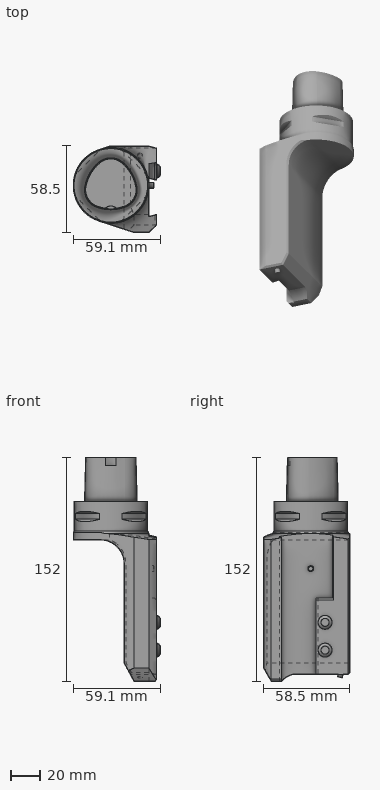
import cadquery as cq
import math


shank_height = 30.0
lobe_radius = 18.7
seam_radius = 17.8
side_radius = 16.5
seam_half_angle = 34
seam_normal_angle = 20
shank_taper = 0.8
notch_radius = 4.7
notch_floor = 14.0
notch_depth = 5.6

collar_radius = 50.0 / 2
collar_bottom = -20.0
flange_radius = 25.5
flange_top = -21.1
flange_bottom = -26.1
grip_offset = 22.2
grip_floor_height = 3.8
grip_z = -10.2
grip_flank_angle = 30

arm_inner_x = 9.0
arm_outer_x = 31.0
arm_shoulder_x = 25.8
front_y = -31.9
back_y = 26.6
tangent_x = -7.9
front_corner = 4.9
back_corner = 1.4
arm_fillet = 15.8
top_slope_angle = 15
neck_foot_radius = 25.8
neck_slope = (flange_top - collar_bottom) / (flange_radius - collar_radius)
neck_foot_z = collar_bottom + neck_slope * (neck_foot_radius - collar_radius)
inner_bevel_top = -109.6
inner_bevel_width = 6.8
back_chamfer = 1.2

overall_height = 152
overall_width = 59.1
tip_bottom = shank_height - overall_height
heel_bottom = -117.3
front_bevel_width = 5.2
front_bevel_angle = 60
relief_start_y = -11.7
relief_end_y = -19.8
relief_radius = 15.0
tip_chamfer_x = 0.9
tip_chamfer_z = 1.4

slot_floor_x = arm_shoulder_x
slot_front_y = -21.1
slot_back_y = 14.7
slot_front_lean = 1.4
slot_back_lean = 0.8

clamp_front_y = 4.9
clamp_front_lean = 1.4
clamp_bottom = heel_bottom
clamp_top = -65.7
clamp_chamfer = 1.2
screw_y = 9.7
screw_levels = (-82.1, -101.0)
screw_diameter = 9.5
screw_tip_diameter = 5.5
screw_rim = 0.3
screw_bulge_radial = 0.3
screw_bulge_axial = 0.2
screw_height = overall_width - flange_radius - arm_outer_x
stop_diameter = 4.0
stop_length = 3.5
stop_z = -45.6
stop_chamfer = 0.5
heel_pin_diameter = 3.3
heel_pin_x = 19.8
heel_pin_y = 19.8
heel_pin_end_z = -119.3
heel_pin_length = 6.1
heel_pin_tilt = 15


def polar(radius, degrees):
    """Cartesian point at a radius and an angle in degrees."""
    angle = math.radians(degrees)
    return radius * math.cos(angle), radius * math.sin(angle)


def seam_point(side_angle, direction, inset):
    """Seam at one end of a side (direction -1 or 1), moved inward along its normal."""
    base_x, base_y = polar(seam_radius, side_angle + direction * seam_half_angle)
    inset_x, inset_y = polar(inset, side_angle + direction * seam_normal_angle)
    return base_x - inset_x, base_y - inset_y


def shank_section(z, inset):
    """Three shallow sides and three lobes, all arcs, shrunk by inset."""
    outline = cq.Workplane("XY").workplane(offset=z).moveTo(*seam_point(-90, -1, inset))
    for side_angle in (-90, 30, 150):
        side_middle = polar(side_radius - inset, side_angle)
        lobe_tip = polar(lobe_radius - inset, side_angle + 60)
        outline = outline.threePointArc(side_middle, seam_point(side_angle, 1, inset))
        outline = outline.threePointArc(lobe_tip, seam_point(side_angle + 120, -1, inset))
    return outline.wire().val()


def make_shank():
    sections = [shank_section(0, 0), shank_section(shank_height, shank_taper)]
    shank = cq.Workplane(cq.Solid.makeLoft(sections, True))
    notch = (
        cq.Workplane("XY", origin=(0, -notch_floor - notch_radius, shank_height - notch_depth))
        .circle(notch_radius)
        .extrude(notch_depth)
    )
    return shank.cut(notch)


def make_collar():
    collar = (
        cq.Workplane("XZ")
        .polyline([
            (0, 0),
            (collar_radius, 0),
            (collar_radius, collar_bottom),
            (flange_radius, flange_top),
            (flange_radius, flange_bottom),
            (0, flange_bottom),
        ])
        .close()
        .revolve(360, (0, 0), (0, 1))
    )
    reach = 4.5
    mouth = grip_floor_height / 2 + reach * math.tan(math.radians(grip_flank_angle))
    groove = (
        cq.Workplane("XZ", origin=(0, 0, grip_z))
        .polyline([
            (grip_offset, -grip_floor_height / 2),
            (grip_offset + reach, -mouth),
            (grip_offset + reach, mouth),
            (grip_offset, grip_floor_height / 2),
        ])
        .close()
        .extrude(collar_radius, both=True)
    )
    for angle in (45, 135, 225, 315):
        collar = collar.cut(groove.rotate((0, 0, 0), (0, 0, 1), angle))
    return collar


def arm_plan():
    """Arm seen along Z: straight sides tangent to the flange, cornered outer face."""
    tangent_y = math.sqrt(flange_radius**2 - tangent_x**2)
    side_slope = -tangent_x / tangent_y
    front_x = tangent_x + (-front_y - tangent_y) / side_slope
    back_x = tangent_x + (back_y - tangent_y) / side_slope
    return (
        cq.Workplane("XY")
        .workplane(offset=tip_bottom)
        .polyline([
            (tangent_x, -tangent_y),
            (front_x, front_y),
            (arm_shoulder_x, front_y),
            (arm_outer_x, front_y + front_corner),
            (arm_outer_x, back_y - back_corner),
            (arm_shoulder_x, back_y),
            (back_x, back_y),
            (tangent_x, tangent_y),
        ])
        .close()
        .extrude(collar_bottom - tip_bottom)
    )


def arm_profile():
    """Arm seen along Y: under the flange, round the fillet and down to the tip."""
    margin = 0.2
    fillet_x = arm_inner_x - arm_fillet
    fillet_z = flange_bottom - arm_fillet
    arc_middle_x, arc_middle_z = polar(arm_fillet, 45)
    profile = (
        cq.Workplane("XZ", origin=(0, back_y, 0))
        .moveTo(-flange_radius, collar_bottom)
        .lineTo(-flange_radius, flange_bottom)
        .lineTo(fillet_x, flange_bottom)
        .threePointArc(
            (fillet_x + arc_middle_x, fillet_z + arc_middle_z),
            (arm_inner_x, fillet_z),
        )
        .lineTo(arm_inner_x, inner_bevel_top)
        .lineTo(arm_inner_x + inner_bevel_width, tip_bottom)
        .lineTo(arm_outer_x - tip_chamfer_x, tip_bottom)
        .lineTo(arm_outer_x, tip_bottom + tip_chamfer_z)
        .lineTo(arm_outer_x, collar_bottom)
        .close()
        .extrude(back_y - front_y)
    )
    inner_back_edges = cq.selectors.BoxSelector(
        (fillet_x, front_y, tip_bottom + margin),
        (arm_inner_x + inner_bevel_width, back_y + margin, flange_bottom - margin),
    )
    return profile.faces(">Y").edges(inner_back_edges).chamfer(back_chamfer)


def arm_end():
    """Arm seen along X: beveled front tip, round relief and a chamfered heel."""
    bevel_height = front_bevel_width * math.tan(math.radians(front_bevel_angle))
    return (
        cq.Workplane("YZ")
        .moveTo(front_y, collar_bottom)
        .lineTo(front_y, tip_bottom + bevel_height)
        .lineTo(front_y + front_bevel_width, tip_bottom)
        .lineTo(relief_end_y, tip_bottom)
        .radiusArc((relief_start_y, heel_bottom), relief_radius)
        .lineTo(back_y - back_chamfer, heel_bottom)
        .lineTo(back_y, heel_bottom + back_chamfer)
        .lineTo(back_y, collar_bottom)
        .close()
        .extrude(arm_outer_x, both=True)
    )


def sloped_top():
    """Everything below the steep neck under the collar and the shallow cone around it."""
    reach = 60.8
    drop = (reach - neck_foot_radius) * math.tan(math.radians(top_slope_angle))
    return (
        cq.Workplane("XZ")
        .polyline([
            (0, collar_bottom),
            (collar_radius, collar_bottom),
            (neck_foot_radius, neck_foot_z),
            (reach, neck_foot_z - drop),
            (reach, tip_bottom),
            (0, tip_bottom),
        ])
        .close()
        .revolve(360, (0, 0), (0, 1))
    )


def blade_slot():
    return (
        cq.Workplane("XY")
        .workplane(offset=tip_bottom)
        .polyline([
            (slot_floor_x, slot_front_y),
            (arm_outer_x, slot_front_y + slot_front_lean),
            (arm_outer_x, slot_back_y + slot_back_lean),
            (slot_floor_x, slot_back_y),
        ])
        .close()
        .extrude(-tip_bottom)
    )


def make_arm():
    arm = arm_plan().intersect(arm_profile()).intersect(arm_end()).intersect(sloped_top())
    return arm.cut(blade_slot())


def make_clamp():
    return (
        cq.Workplane("XY")
        .workplane(offset=clamp_bottom)
        .polyline([
            (slot_floor_x, clamp_front_y),
            (arm_outer_x, clamp_front_y - clamp_front_lean),
            (arm_outer_x, slot_back_y + slot_back_lean),
            (slot_floor_x, slot_back_y),
        ])
        .close()
        .extrude(clamp_top - clamp_bottom)
        .faces(">X")
        .edges(">Z")
        .chamfer(clamp_chamfer)
    )


def make_screw(z):
    """Domed head standing on the outer face of the clamp bar."""
    rim_radius = screw_diameter / 2
    tip_radius = screw_tip_diameter / 2
    dome_middle = (
        (rim_radius + tip_radius) / 2 + screw_bulge_radial,
        (screw_rim + screw_height) / 2 + screw_bulge_axial,
    )
    return (
        cq.Workplane("XY")
        .lineTo(rim_radius, 0)
        .lineTo(rim_radius, screw_rim)
        .threePointArc(dome_middle, (tip_radius, screw_height))
        .lineTo(0, screw_height)
        .close()
        .revolve(360, (0, 0), (0, 1))
        .rotate((0, 0, 0), (0, 0, 1), -90)
        .translate((arm_outer_x, screw_y, z))
    )


def make_stop_pin():
    return (
        cq.Workplane("YZ", origin=(slot_floor_x, 0, stop_z))
        .circle(stop_diameter / 2)
        .extrude(stop_length)
        .faces(">X")
        .chamfer(stop_chamfer)
    )


def make_heel_pin():
    """Slightly tilted pin whose free end stands below the heel."""
    return (
        cq.Workplane("XY")
        .circle(heel_pin_diameter / 2)
        .extrude(heel_pin_length)
        .rotate((0, 0, 0), (1, 0, 0), -heel_pin_tilt)
        .translate((heel_pin_x, heel_pin_y, heel_pin_end_z))
    )


result = make_shank().union(make_collar()).union(make_arm()).union(make_clamp())
for level in screw_levels:
    result = result.union(make_screw(level))
result = result.union(make_stop_pin()).union(make_heel_pin())